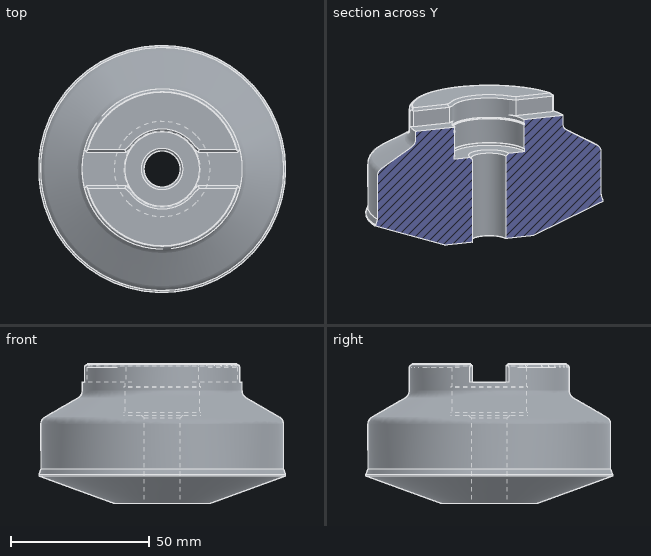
import cadquery as cq
import math

total_height = 50.8
rim_edge_height = 10.0
rim_edge_thickness = 0.5
rim_top_height = 12.6
shoulder_base_height = 30.5

base_radius = 17.3
rim_radius = 44.75
body_radius = 44.0
neck_radius = 29.0
shoulder_angle = 30.0
shoulder_fillet = 3.0

land_height = 0.5
land_radius = 27.8
neck_edge_round = 1.0

bore_radius = 13.5
bore_floor_height = 32.0
hole_radius = 6.5

groove_depth = 0.3
floor_groove_width = 1.0
wall_groove_height = 42.0
wall_groove_width = 0.5

slot_width = 12.0
slot_floor_height = 44.0

edge_chamfer = 1.0

outer_bevel_on_wall = 1.1
outer_bevel_on_neck = 1.1
inner_bevel_on_wall = 1.0
inner_bevel_on_bore = 2.0


def revolved_body():
    """Solid of revolution: conical base, flared rim, drum, shoulder and neck."""
    shoulder_width = body_radius - neck_radius
    shoulder_rise = shoulder_width * math.tan(math.radians(shoulder_angle))
    neck_base_height = shoulder_base_height + shoulder_rise
    outline = [
        (0, 0),
        (base_radius, 0),
        (rim_radius, rim_edge_height),
        (rim_radius, rim_edge_height + rim_edge_thickness),
        (body_radius, rim_top_height),
        (body_radius, shoulder_base_height),
        (neck_radius, neck_base_height),
        (neck_radius, total_height),
        (0, total_height),
    ]
    body = cq.Workplane("XZ").polyline(outline).close().revolve(360, (0, 0, 0), (0, 1, 0))
    body = body.edges(circle_at(body_radius, shoulder_base_height)).fillet(shoulder_fillet)
    return body.edges(circle_at(neck_radius, neck_base_height)).fillet(shoulder_fillet)


def circle_at(radius, height):
    """Selector for circular edges no larger than this radius at this height."""
    margin = 0.1
    reach = radius + margin
    return cq.selectors.BoxSelector(
        (-reach, -reach, height - margin),
        (reach, reach, height + margin),
        boundingbox=True,
    )


def disc(radius, base_height, thickness):
    """Round disc about the Z axis."""
    return cq.Workplane("XY").workplane(offset=base_height).circle(radius).extrude(thickness)


def cut_centre_hole(body):
    """Cut the wide blind bore and the chamfered through hole in its floor."""
    bore = disc(bore_radius, bore_floor_height, total_height - bore_floor_height)
    hole = disc(hole_radius, 0, bore_floor_height)
    body = body.cut(bore).cut(hole)
    return body.edges(circle_at(hole_radius, bore_floor_height)).chamfer(edge_chamfer)


def cut_bore_grooves(body):
    """Cut the two shallow ring grooves in the wall of the bore."""
    groove_radius = bore_radius + groove_depth
    floor_groove = disc(groove_radius, bore_floor_height, floor_groove_width)
    wall_groove = disc(groove_radius, wall_groove_height, wall_groove_width)
    return body.cut(floor_groove).cut(wall_groove)


def cut_slot(body):
    """Cut the slot along X, bevel its corners and chamfer the inner top edges."""
    slot = (
        cq.Workplane("XY")
        .workplane(offset=slot_floor_height)
        .rect(2 * rim_radius, slot_width)
        .extrude(total_height - slot_floor_height)
    )
    body = body.cut(slot)
    body = bevel_slot_corners(body, bore_radius, inner_bevel_on_wall, inner_bevel_on_bore)
    top_edges = body.faces(">Z").edges()
    body = top_edges.filter(is_not_neck_rim).chamfer(edge_chamfer)
    return bevel_slot_corners(body, neck_radius, -outer_bevel_on_wall, outer_bevel_on_neck)


def is_not_neck_rim(edge):
    """True for every edge except an arc of the neck's outer rim."""
    return edge.geomType() != "CIRCLE" or edge.radius() < neck_radius


def bevel_slot_corners(body, radius, wall_setback, arc_setback):
    """Bevel the four upright corners where the slot walls meet a round face.

    wall_setback is measured along +X from the corner, arc_setback along the round face.
    """
    half_width = slot_width / 2
    corner_angle = math.asin(half_width / radius)
    bevel_angle = corner_angle + arc_setback / radius
    wall_x = radius * math.cos(corner_angle) + wall_setback
    arc_x = radius * math.cos(bevel_angle)
    arc_y = radius * math.sin(bevel_angle)
    far_x = 2 * arc_x - wall_x
    far_y = 2 * arc_y - half_width
    wedge = (
        cq.Workplane("XY")
        .workplane(offset=slot_floor_height)
        .polyline([(wall_x, half_width), (far_x, far_y), (far_x, half_width)])
        .close()
        .extrude(total_height - slot_floor_height)
    )
    for one_wedge in (wedge, wedge.mirror("XZ")):
        body = body.cut(one_wedge).cut(one_wedge.mirror("YZ"))
    return body


def round_neck_edge(body):
    """Trim the outer top edge of the neck to a round below a narrow bevelled land."""
    round_start = total_height - land_height - neck_edge_round
    round_centre_radius = neck_radius - neck_edge_round
    diagonal = neck_edge_round * math.sqrt(0.5)
    trim = (
        cq.Workplane("XZ")
        .moveTo(neck_radius, round_start)
        .threePointArc(
            (round_centre_radius + diagonal, round_start + diagonal),
            (round_centre_radius, round_start + neck_edge_round),
        )
        .lineTo(land_radius, total_height)
        .lineTo(rim_radius, total_height)
        .lineTo(rim_radius, round_start)
        .close()
        .revolve(360, (0, 0, 0), (0, 1, 0))
    )
    return body.cut(trim)


result = revolved_body()
result = cut_centre_hole(result)
result = cut_slot(result)
result = cut_bore_grooves(result)
result = round_neck_edge(result)